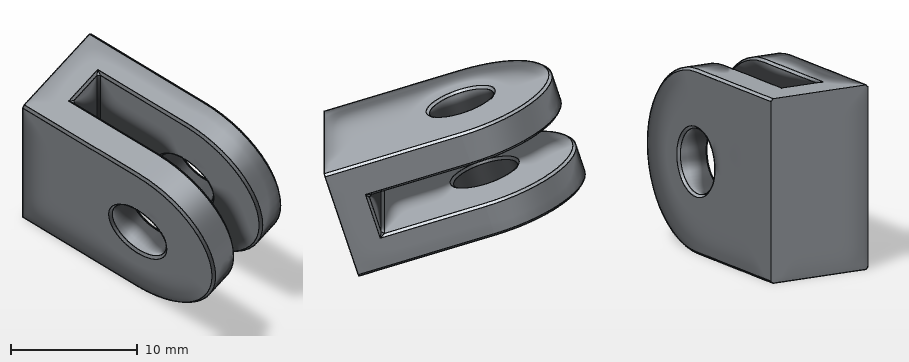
import cadquery as cq
import math

length = 18.8
width = 9.0
height = 15.0

end_radius = height / 2
pin_x = length - end_radius
pin_diameter = 5.3
slot_width = 3.42
slot_floor_x = 2.8
chamfer = 0.2


def round_ended_block():
    """Block centred on Y, flat at X = 0 and rounded about the pin axis."""
    return (
        cq.Workplane("XZ")
        .moveTo(0, -end_radius)
        .lineTo(pin_x, -end_radius)
        .threePointArc((length, 0), (pin_x, end_radius))
        .lineTo(0, end_radius)
        .close()
        .extrude(width / 2, both=True)
    )


def bevelled_body():
    """Body with its two side outlines chamfered, except along the flat end."""
    body = round_ended_block()
    for side in ("<Y", ">Y"):
        body = body.faces(side).edges("not(<X)").chamfer(chamfer)
    return body


def cut_slot(body):
    """Slot open at the round end, with its rim chamfered and its floor corners left sharp."""
    slot_length = length - slot_floor_x
    cutter = cq.Workplane("XY").box(slot_length, slot_width, height, centered=(False, True, True))
    slotted = body.cut(cutter.translate((slot_floor_x, 0, 0)))

    rim_reach = slot_width / 2 + chamfer
    slot_region = cq.selectors.BoxSelector(
        (slot_floor_x - chamfer, -rim_reach, -height),
        (length + chamfer, rim_reach, height),
    )
    floor_corners = cq.selectors.ParallelDirSelector(cq.Vector(0, 0, 1))
    return slotted.edges(slot_region - floor_corners).chamfer(chamfer)


def floor_corner_fill():
    """Diagonal web for the +Y floor corner, sloping down from each mouth corner.

    The profile lies in the upright plane that bisects the corner; its local
    X runs from the sharp corner toward the middle of the slot.
    """
    diagonal = math.sqrt(2)
    mouth_reach = chamfer * diagonal
    web_reach = chamfer / diagonal
    mouth_z = height / 2
    web_z = mouth_z - chamfer
    bisector = cq.Plane(
        origin=(slot_floor_x, slot_width / 2, 0),
        xDir=(1, -1, 0),
        normal=(-1, -1, 0),
    )
    profile = [
        (-mouth_reach, -mouth_z),
        (web_reach, -web_z),
        (web_reach, web_z),
        (-mouth_reach, mouth_z),
    ]
    return cq.Workplane(bisector).polyline(profile).close().extrude(web_reach, both=True)


def lug_hole(inner_y, outer_y):
    """Cutter for the hole through one lug, flared by a chamfer at both faces."""
    hole_radius = pin_diameter / 2
    mouth_radius = hole_radius + chamfer
    profile = [
        (0, inner_y),
        (mouth_radius, inner_y),
        (hole_radius, inner_y + chamfer),
        (hole_radius, outer_y - chamfer),
        (mouth_radius, outer_y),
        (0, outer_y),
    ]
    hole = cq.Workplane("XY").polyline(profile).close().revolve(360, (0, 0), (0, 1))
    return hole.translate((pin_x, 0, 0))


far_hole = lug_hole(slot_width / 2, width / 2)
near_hole = far_hole.mirror("XZ")
far_fill = floor_corner_fill()
near_fill = far_fill.mirror("XZ")
slotted_body = cut_slot(bevelled_body()).union(far_fill).union(near_fill)
result = slotted_body.cut(far_hole).cut(near_hole)